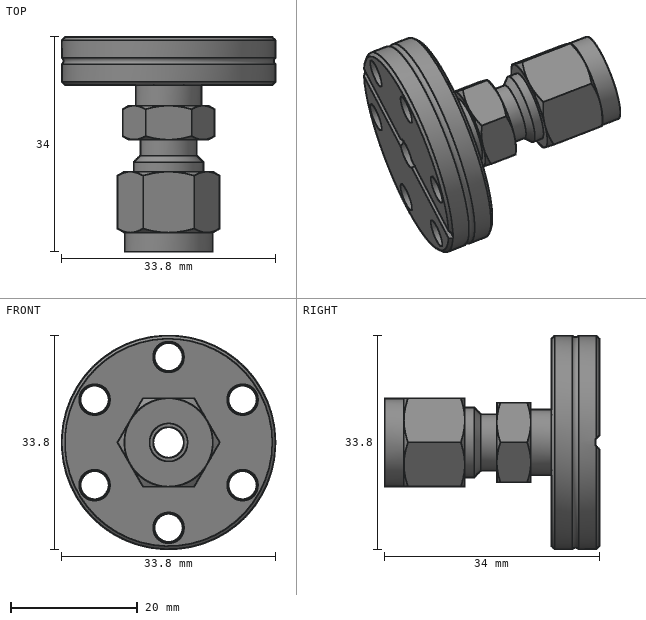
import cadquery as cq
import math


flange_diameter = 33.8
flange_thickness = 7.6
flange_chamfer = 0.5
rim_groove_width = 1.0
rim_groove_depth = 0.25

bolt_count = 6
bolt_circle_diameter = 27.0
bolt_hole_diameter = 4.4
bolt_countersink_diameter = 4.9

face_groove_width = 2.25
face_groove_depth = 0.6

bore_diameter = 4.8
shank_diameter = 10.43
neck_diameter = 8.97
collar_diameter = 11.1
body_hex_start = 10.87
body_hex_end = 16.25
body_hex_flats = 12.6
collar_start = 18.75

nut_start = 21.3
nut_hex_end = 30.9
nut_end = 33.97
nut_flats = 14.0
nut_nose_diameter = 13.95
tube_hole_diameter = 6.0

hex_chamfer_angle = 30.0


def cylinder(diameter, start, end):
    """Round bar on the Y axis between two stations."""
    bar = cq.Workplane("XZ", origin=(0, -start, 0))
    return bar.circle(diameter / 2).extrude(end - start)


def chamfered_hexagon(flats, start, end):
    """Hexagonal bar with corners on the X axis, both ends turned to a cone."""
    corner_radius = flats / math.sqrt(3)
    face_radius = flats / 2
    chamfer_length = (corner_radius - face_radius) * math.tan(math.radians(hex_chamfer_angle))
    prism = (
        cq.Workplane("XZ", origin=(0, -start, 0))
        .polygon(6, 2 * corner_radius)
        .extrude(end - start)
    )
    turned_blank = (
        cq.Workplane("XY")
        .moveTo(0, -start)
        .lineTo(face_radius, -start)
        .lineTo(corner_radius, -start - chamfer_length)
        .lineTo(corner_radius, -end + chamfer_length)
        .lineTo(face_radius, -end)
        .lineTo(0, -end)
        .close()
        .revolve(360, (0, 0, 0), (0, 1, 0))
    )
    return prism.intersect(turned_blank)


def flange_disc():
    """Chamfered disc with a round-bottomed groove around the middle of its rim."""
    radius = flange_diameter / 2
    inner = radius - flange_chamfer
    middle = flange_thickness / 2
    half_groove = rim_groove_width / 2
    return (
        cq.Workplane("XY")
        .lineTo(inner, 0)
        .lineTo(radius, -flange_chamfer)
        .lineTo(radius, -middle + half_groove)
        .threePointArc((radius - rim_groove_depth, -middle), (radius, -middle - half_groove))
        .lineTo(radius, -flange_thickness + flange_chamfer)
        .lineTo(inner, -flange_thickness)
        .lineTo(0, -flange_thickness)
        .close()
        .revolve(360, (0, 0, 0), (0, 1, 0))
    )


def bolt_holes():
    """Cutters for the ring of through holes, each with a 45 degree countersink."""
    hole_radius = bolt_hole_diameter / 2
    sink_radius = bolt_countersink_diameter / 2
    sink_depth = sink_radius - hole_radius
    cutter = (
        cq.Workplane("XY")
        .lineTo(hole_radius, 0)
        .lineTo(hole_radius, -flange_thickness + sink_depth)
        .lineTo(sink_radius, -flange_thickness)
        .lineTo(0, -flange_thickness)
        .close()
        .revolve(360, (0, 0, 0), (0, 1, 0))
        .translate((0, 0, bolt_circle_diameter / 2))
    )
    cutters = cq.Workplane("XY")
    for index in range(bolt_count):
        cutters = cutters.add(cutter.rotate((0, 0, 0), (0, 1, 0), index * 360 / bolt_count))
    return cutters.combine()


def face_groove():
    """Cutter for the flat-bottomed groove running along X across the sealing face."""
    half_mouth = face_groove_width / 2
    half_floor = half_mouth - face_groove_depth
    return (
        cq.Workplane("YZ")
        .moveTo(0, half_mouth)
        .lineTo(-face_groove_depth, half_floor)
        .lineTo(-face_groove_depth, -half_floor)
        .lineTo(0, -half_mouth)
        .close()
        .extrude(flange_diameter / 2, both=True)
    )


def collar():
    """Collar that meets the nut, tapering at 45 degrees down to the neck."""
    taper = (collar_diameter - neck_diameter) / 2
    return cylinder(collar_diameter, collar_start, nut_start).faces(">Y").chamfer(taper)


def make_flange_fitting():
    """Flange and fitting stem in one piece, bored through."""
    body = flange_disc().cut(bolt_holes()).cut(face_groove())
    body = body.union(cylinder(shank_diameter, flange_thickness, body_hex_start))
    body = body.union(chamfered_hexagon(body_hex_flats, body_hex_start, body_hex_end))
    body = body.union(cylinder(neck_diameter, body_hex_end, collar_start))
    body = body.union(collar())
    return body.cut(cylinder(bore_diameter, 0, nut_start)).solids()


def make_nut():
    """Hexagonal nut with a round nose, seated against the collar."""
    nut = chamfered_hexagon(nut_flats, nut_start, nut_hex_end)
    nut = nut.union(cylinder(nut_nose_diameter, nut_hex_end, nut_end))
    return nut.cut(cylinder(tube_hole_diameter, nut_start, nut_end)).solids()


flange_fitting = make_flange_fitting()
nut = make_nut()

result = cq.Compound.makeCompound([flange_fitting.val(), nut.val()])